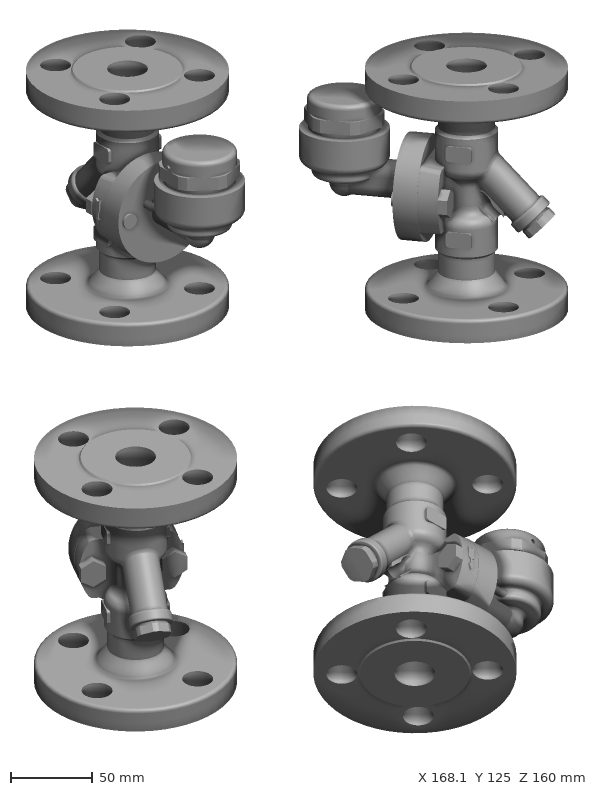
import cadquery as cq
import math

overall_length = 168.1
half_height = 80.0
pipe_radius = 17.5
bore_diameter = 25.0
body_radius = 19.5
body_half_length = 40.3
body_chamfer = 1.8
column_radius = 11.8

flange_radius = 62.5
flange_back = 63.9
flange_edge_round = 2.4
raised_face_radius = 67.5 / 2
raised_face_height = 1.0
bolt_hole_diameter = 19.0
bolt_hole_offset = 31.8
hub_radius = 23.9
hub_foot_radius = 26.5
hub_end = 62.7
hub_start = 54.1

bonnet_z = -1.8
waist_half_height = 18.8
column_half_height = 6.4
waist_arc_share = 0.5

pad_width = 16.1
pad_height = 10.1
pad_corner = 2.0
pad_reach = 20.0
pad_heights = (28.4, -27.5)

strainer_tilt = 45
strainer_origin_z = 27.4
strainer_radius = 23.0 / 2
strainer_fillet = 3.4

web_half_width = 7.0
web_top = (-5.0, 8.4)
web_inner = (-5.0, -21.9)
web_foot = (-19.5, -18.2)
web_arch = (-21.5, -15.5)
web_outer = (-25.5, -14.8)
web_in_tube = (-25.2, -8.4)
hollow_radius = 4.0
hollow_path = [(-24.9, 5.4, -19.0), (-14.8, 5.4, -8.9), (-8.4, 13.3, 3.4)]

collar_radius = 27.0 / 2
collar_inner_round = 1.8
collar_outer_round = 1.0
collar_start = 53.5
collar_end = 60.9
plug_neck_radius = 21.0 / 2
plug_start = 62.4
plug_end = 68.0
plug_diameter = 23.0
plug_flats = 21.5

bonnet_diameter = 67.0
bonnet_back = 9.5
bonnet_joint = 22.9
bonnet_front = 38.3
bonnet_back_diameter = 66.5
bonnet_back_height = 41.4
bonnet_draft = 6
bonnet_edge_round = 4.7
slab_fillet = 4.9
bolt_spacing = 25.7
bolt_flats = 15.8
bolt_head_start = 3.5
stud_diameter = 9.5
stud_end = 40.2

arrow_x = 16.3
arrow_half_width = 2.0
arrow_stem_half_width = 0.7
arrow_tail = 8.4
arrow_notch = 7.0
arrow_shoulder = 0.3
arrow_neck = -4.4
arrow_tip = -8.4
arrow_reach = 34.0

housing_radius = 56.0 / 2
housing_x = overall_length - flange_radius - housing_radius
housing_top = 33.1
housing_bottom = 10.0
housing_round = 4.9
step_radius = 20.2
step_bottom = 2.2
step_round = 2.5
step_fillet = 1.7
ball_radius = 19.0 / 2
ball_neck_z = -0.7
ball_z = -2.2
ball_neck_fillet = 2.2
cap_radius = 46.0 / 2
cap_round = 3.0
cap_neck_radius = 22.5
nut_bottom = 36.0
nut_top = 44.5
nut_diameter = 50.0
cap_top = 54.6
cap_hole_diameter = 3.0
cap_hole_z = 47.9
cap_hole_depth = 1.7

arm_radius = 8.4
arm_top = 14.0
tube_radius = 2.7
tube_y = -12.1
tube_z = 5.9


def revolve_about_z(profile):
    """Turn a closed profile drawn in (radius, height) about the Z axis."""
    return profile.close().revolve(360, (0, 0, 0), (0, 1, 0))


def cylinder_along_x(y, z, radius, start, end):
    return cq.Workplane("YZ", origin=(start, y, z)).circle(radius).extrude(end - start)


def hexagon_corners(flats):
    """Diameter across the corners of a hexagon with the given width across flats."""
    return flats / math.cos(math.pi / 6)


def truncated_hexagon(flats, diameter, bottom, top):
    """Hexagonal prism with flats facing +-Y and corners turned down to a diameter."""
    corners = hexagon_corners(flats)
    plane = cq.Workplane("XY", origin=(0, 0, bottom))
    prism = plane.polygon(6, corners).extrude(top - bottom)
    return prism.intersect(plane.circle(diameter / 2).extrude(top - bottom))


def make_body():
    """Turned body with a narrow waist joined by tangent S-shaped shoulders."""
    drop = waist_half_height - column_half_height
    inset = body_radius - column_radius
    shoulder_angle = 2 * math.atan2(inset, drop)
    outer_arc = waist_arc_share * drop / math.sin(shoulder_angle)
    middle_radius = body_radius - outer_arc * (1 - math.cos(shoulder_angle))
    middle_height = waist_half_height - waist_arc_share * drop
    low = bonnet_z - waist_half_height
    high = bonnet_z + waist_half_height
    chamfer_radius = body_radius - body_chamfer
    straight_end = body_half_length - body_chamfer
    profile = (
        cq.Workplane("XZ")
        .moveTo(0, -body_half_length)
        .lineTo(chamfer_radius, -body_half_length)
        .lineTo(body_radius, -straight_end)
        .lineTo(body_radius, low)
        .tangentArcPoint((middle_radius, bonnet_z - middle_height), relative=False)
        .tangentArcPoint((column_radius, bonnet_z - column_half_height), relative=False)
        .lineTo(column_radius, bonnet_z + column_half_height)
        .tangentArcPoint((middle_radius, bonnet_z + middle_height), relative=False)
        .tangentArcPoint((body_radius, high), relative=False)
        .lineTo(body_radius, straight_end)
        .lineTo(chamfer_radius, body_half_length)
        .lineTo(0, body_half_length)
    )
    return revolve_about_z(profile)


def place_on_strainer(shape):
    return shape.rotate((0, 0, 0), (0, 1, 0), strainer_tilt).translate((0, 0, strainer_origin_z))


def make_strainer_end():
    """Collar, neck and hexagonal plug at the outer end of the strainer."""
    collar = cq.Workplane("XY", origin=(0, 0, -collar_end)).circle(collar_radius)
    collar = collar.extrude(collar_end - collar_start)
    collar = collar.edges(">Z").fillet(collar_inner_round).edges("<Z").fillet(collar_outer_round)
    neck = cq.Workplane("XY", origin=(0, 0, -plug_start)).circle(plug_neck_radius)
    neck = neck.extrude(plug_start - collar_start)
    plug = truncated_hexagon(plug_flats, plug_diameter, -plug_end, -plug_start)
    return place_on_strainer(collar.union(neck).union(plug))


def make_pipe_end():
    """Upper pipe stub with its flange; the lower one is its mirror image."""
    face = half_height - raised_face_height
    profile = (
        cq.Workplane("XZ")
        .moveTo(0, body_half_length - body_chamfer)
        .lineTo(pipe_radius, body_half_length - body_chamfer)
        .lineTo(pipe_radius, hub_start)
        .lineTo(hub_radius, hub_end)
        .tangentArcPoint((hub_foot_radius, flange_back), relative=False)
        .lineTo(flange_radius - flange_edge_round, flange_back)
        .tangentArcPoint((flange_radius, flange_back + flange_edge_round), relative=False)
        .lineTo(flange_radius, face)
        .lineTo(raised_face_radius + raised_face_height, face)
        .lineTo(raised_face_radius, half_height)
        .lineTo(0, half_height)
    )
    holes = (
        cq.Workplane("XY", origin=(0, 0, flange_back))
        .rect(2 * bolt_hole_offset, 2 * bolt_hole_offset, forConstruction=True)
        .vertices()
        .circle(bolt_hole_diameter / 2)
        .extrude(half_height - flange_back)
    )
    return revolve_about_z(profile).cut(holes)


def make_bore():
    depth = half_height - body_half_length
    return cq.Workplane("XY", origin=(0, 0, body_half_length)).circle(bore_diameter / 2).extrude(depth)


def make_pad(center_z):
    """Flat plate through the body that shows as a pad on its -Y and +Y sides."""
    pad = cq.Workplane("XY").box(pad_width, 2 * pad_reach, pad_height)
    return pad.edges("|Y").fillet(pad_corner).translate((0, 0, center_z))


def make_bonnet_slab():
    """Web from the column to the bonnet, flaring into its back face."""
    flare = column_radius + slab_fillet
    fillet_start = bonnet_back - slab_fillet
    outline = (
        cq.Workplane("XY", origin=(0, 0, bonnet_z - waist_half_height))
        .moveTo(0, -column_radius)
        .lineTo(fillet_start, -column_radius)
        .tangentArcPoint((bonnet_back, -flare), relative=False)
        .lineTo(bonnet_back, flare)
        .radiusArc((fillet_start, column_radius), slab_fillet)
        .lineTo(0, column_radius)
        .close()
    )
    return outline.extrude(2 * waist_half_height)


def make_bonnet():
    """Round bonnet flange with a flat-topped, drafted counter flange behind it."""
    thickness = bonnet_joint - bonnet_back
    back_plane = cq.Workplane("YZ", origin=(bonnet_back, 0, bonnet_z))
    flats = back_plane.rect(bonnet_diameter, bonnet_back_height).extrude(thickness, taper=-bonnet_draft)
    back = back_plane.circle(bonnet_back_diameter / 2).extrude(thickness).intersect(flats)
    back = back.edges("not(<X or >X)").fillet(bonnet_edge_round)
    return back.union(cylinder_along_x(0, bonnet_z, bonnet_diameter / 2, bonnet_joint, bonnet_front))


def make_bolt(y):
    """Hexagon head behind the bonnet and stud end in front of it."""
    corners = hexagon_corners(bolt_flats)
    head = (
        cq.Workplane("YZ", origin=(bolt_head_start, y, bonnet_z))
        .transformed(rotate=(0, 0, 90))
        .polygon(6, corners)
        .extrude(bonnet_back - bolt_head_start)
    )
    return head.union(cylinder_along_x(y, bonnet_z, stud_diameter / 2, bonnet_back, stud_end))


def make_arrow():
    """Raised flow arrow pointing down on the -Y side of the bonnet."""
    right_side = [
        (arrow_half_width, arrow_tail),
        (arrow_half_width, arrow_shoulder),
        (arrow_stem_half_width, arrow_shoulder - arrow_stem_half_width),
        (arrow_stem_half_width, arrow_neck),
        (arrow_half_width, arrow_neck),
    ]
    left_side = [(-x, z) for x, z in reversed(right_side)]
    points = [(0, arrow_notch)] + right_side + [(0, arrow_tip)] + left_side
    plane = cq.Workplane("XZ", origin=(arrow_x, 0, bonnet_z))
    return plane.polyline(points).close().extrude(arrow_reach)


def make_housing():
    """Turned housing: ball elbow, step, cup, hexagon nut and cap."""
    profile = (
        cq.Workplane("XZ")
        .moveTo(0, ball_z - ball_radius)
        .radiusArc((ball_radius, ball_z), -ball_radius)
        .lineTo(ball_radius, ball_neck_z)
        .tangentArcPoint((ball_radius + ball_neck_fillet, step_bottom), relative=False)
        .lineTo(step_radius - step_round, step_bottom)
        .tangentArcPoint((step_radius, step_bottom + step_round), relative=False)
        .lineTo(step_radius, housing_bottom - step_fillet)
        .tangentArcPoint((step_radius + step_fillet, housing_bottom), relative=False)
        .lineTo(housing_radius - housing_round, housing_bottom)
        .tangentArcPoint((housing_radius, housing_bottom + housing_round), relative=False)
        .lineTo(housing_radius, housing_top)
        .lineTo(cap_neck_radius, housing_top)
        .lineTo(cap_neck_radius, nut_bottom)
        .lineTo(cap_radius, nut_bottom)
        .lineTo(cap_radius, cap_top - cap_round)
        .tangentArcPoint((cap_radius - cap_round, cap_top), relative=False)
        .lineTo(0, cap_top)
    )
    housing = revolve_about_z(profile)
    housing = housing.union(truncated_hexagon(2 * cap_radius, nut_diameter, nut_bottom, nut_top))
    hole_plane = cq.Workplane("XZ", origin=(0, -cap_radius, cap_hole_z))
    hole = hole_plane.circle(cap_hole_diameter / 2).extrude(-cap_hole_depth)
    return housing.cut(hole).translate((housing_x, 0, 0))


def make_arm():
    """Round-ended arm and small side tube between bonnet and housing."""
    arm_height = arm_top - bonnet_z + arm_radius
    arm = (
        cq.Workplane("YZ", origin=(bonnet_joint, 0, arm_top - arm_height / 2))
        .slot2D(arm_height, 2 * arm_radius, 90)
        .extrude(housing_x - bonnet_joint)
    )
    return arm.union(cylinder_along_x(tube_y, tube_z, tube_radius, bonnet_joint, housing_x))


def join_branch(body):
    """Add the strainer tube, rounding the corner where it leaves the body."""
    tube = cq.Workplane("XY").circle(strainer_radius).extrude(-collar_end)
    joined = body.union(place_on_strainer(tube))
    top_of_joint = (-body_radius, 0, strainer_origin_z)
    return joined.edges(cq.selectors.NearestToPointSelector(top_of_joint)).fillet(strainer_fillet)


def make_rod(start, end, radius):
    """Round bar between two points with a ball on its far end."""
    first = cq.Vector(*start)
    direction = cq.Vector(*end) - first
    bar = cq.Solid.makeCylinder(radius, direction.Length, first, direction)
    ball = cq.Workplane("XY").sphere(radius).translate(end)
    return ball.union(cq.Workplane(bar))


def make_web():
    """Web filling the gap between the strainer tube and the lower body, hollowed on both sides."""
    outline = (
        cq.Workplane("XZ")
        .moveTo(*web_inner)
        .lineTo(*web_foot)
        .threePointArc(web_arch, web_outer)
        .lineTo(*web_in_tube)
        .lineTo(*web_top)
        .close()
    )
    web = outline.extrude(web_half_width, both=True)
    for start, end in zip(hollow_path, hollow_path[1:]):
        rod = make_rod(start, end, hollow_radius)
        web = web.cut(rod).cut(rod.mirror("XZ"))
    return web


result = join_branch(make_body()).union(make_web()).union(make_strainer_end())
result = result.union(make_bonnet_slab()).union(make_bonnet())
result = result.union(make_arm()).union(make_housing()).union(make_arrow())

for bolt_y in (-bolt_spacing, bolt_spacing):
    result = result.union(make_bolt(bolt_y))

for pad_z in pad_heights:
    result = result.union(make_pad(pad_z))

pipe_end = make_pipe_end()
bore = make_bore()
result = result.union(pipe_end).union(pipe_end.mirror("XY"))
result = result.cut(bore).cut(bore.mirror("XY"))